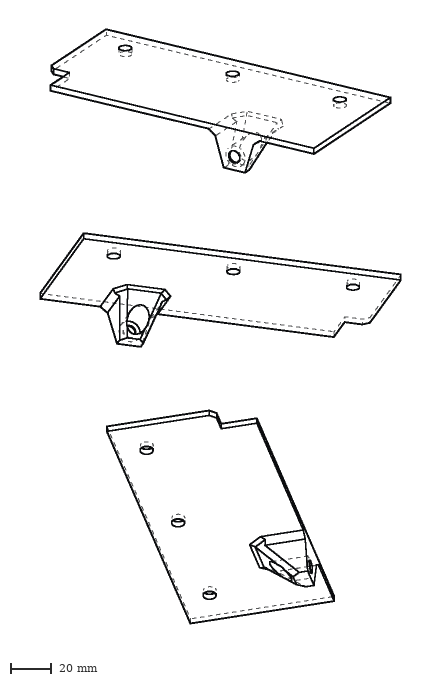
import cadquery as cq

plate_length = 163.0
plate_width = 73.0
plate_thickness = 3.1
total_height = 22.0
notch_length = 12.0
notch_width = 18.1
corner_chamfer = 3.0

hole_diameter = 6.4
hole_spacing = 61.5
hole_back_margin = 15.0

lug_center_x = 117.4
lug_height = total_height - plate_thickness
lug_tip_width = 12.2
lug_side_run = 5.7
lug_tip_half = lug_tip_width / 2
lug_root_half = lug_tip_half + lug_side_run
lug_tip_depth = 8.2
lug_root_depth = lug_tip_depth + lug_height
lug_back_chamfer = 2.8
root_chamfer = 3.0
root_back_chamfer = 1.5

bolt_hole_z = -11.7
bolt_head_diameter = 11.0
bolt_wall_thickness = 1.0


def make_plate():
    plate = (
        cq.Workplane("XY")
        .moveTo(notch_length, 0)
        .lineTo(plate_length, 0)
        .lineTo(plate_length, plate_width)
        .lineTo(0, plate_width)
        .lineTo(0, notch_width + corner_chamfer)
        .lineTo(corner_chamfer, notch_width)
        .lineTo(notch_length, notch_width)
        .close()
        .extrude(plate_thickness)
    )
    hole_y = plate_width - hole_back_margin
    hole_points = [(plate_length / 2 + i * hole_spacing, hole_y) for i in (-1, 0, 1)]
    holes = (
        cq.Workplane("XY")
        .pushPoints(hole_points)
        .circle(hole_diameter / 2)
        .extrude(plate_thickness)
    )
    return plate.cut(holes)


def make_lug():
    front_outline = [
        (lug_center_x - lug_root_half, 0),
        (lug_center_x - lug_tip_half, -lug_height),
        (lug_center_x + lug_tip_half, -lug_height),
        (lug_center_x + lug_root_half, 0),
    ]
    side_outline = [
        (0, 0),
        (lug_root_depth, 0),
        (lug_tip_depth, -lug_height),
        (0, -lug_height),
    ]
    taper = cq.Workplane("XZ").polyline(front_outline).close().extrude(-lug_root_depth)
    wedge = cq.Workplane("YZ").polyline(side_outline).close().extrude(plate_length)
    lug = taper.intersect(wedge)
    back_face = lug.faces(cq.selectors.DirectionMinMaxSelector(cq.Vector(0, 1, -1), True))
    return back_face.edges("not |X").chamfer(lug_back_chamfer)


def y_cylinder(diameter, start_y):
    return (
        cq.Workplane("XZ", origin=(lug_center_x, start_y, bolt_hole_z))
        .circle(diameter / 2)
        .extrude(-lug_root_depth)
    )


def bevel_root(body):
    """Bevel the inside corners at the lug root: first along the sides, then around the back."""
    margin = 0.2
    root_box = cq.selectors.BoxSelector(
        (lug_center_x - lug_root_half - root_chamfer, margin, -margin),
        (lug_center_x + lug_root_half + root_chamfer, lug_root_depth + margin, margin),
    )
    body = body.edges(root_box).edges("|Y").chamfer(root_chamfer)
    return body.edges(root_box).edges("not |Y").chamfer(root_back_chamfer)


body = bevel_root(make_plate().union(make_lug()))
bolt_hole = y_cylinder(hole_diameter, 0)
bolt_head_space = y_cylinder(bolt_head_diameter, bolt_wall_thickness)
result = body.cut(bolt_hole).cut(bolt_head_space)